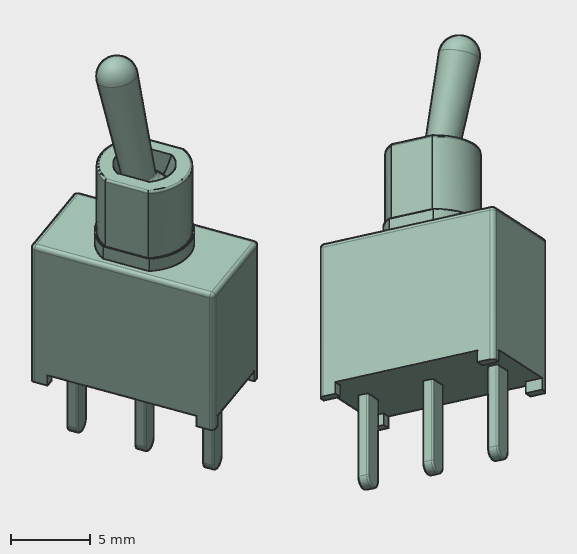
import cadquery as cq
import math


housing_length = 12.7
housing_width = 6.6
housing_top = 10.4
housing_edge_radius = 0.3
foot_height = 0.8
foot_gap_x = 10.3
foot_gap_y = 5.35

collar_diameter = 6.25
collar_flat_width = 5.37
collar_top = 11.33
neck_diameter = 6.02
neck_flat_width = 5.23
neck_top = 16.42
neck_edge_radius = 0.15

bore_mouth_diameter = 3.95
bore_flat_width = 3.27
bore_taper = 8.5

lever_tilt = 12.0
lever_top = 23.85
pivot_height = 13.58
ball_radius = 2.05
stem_root_radius = 1.0
tip_radius = 1.3
stem_fillet = 0.45
lever_length = (lever_top - tip_radius - pivot_height) / math.cos(math.radians(lever_tilt))

pin_count = 3
pin_pitch = 4.7
pin_thickness = 0.75
pin_width = 1.35
pin_tip_height = -5.35
pin_edge_radius = 0.12


def cylinder_with_flats(diameter, flat_width, bottom, top):
    """Vertical cylinder cut by two flats facing -Y and +Y."""
    height = top - bottom
    cylinder = cq.Workplane("XY", origin=(0, 0, bottom)).circle(diameter / 2).extrude(height)
    slab = cq.Workplane("XY", origin=(0, 0, bottom)).rect(diameter, flat_width).extrude(height)
    return cylinder.intersect(slab)


def make_block():
    """Rounded block whose underside is relieved both ways, leaving four corner feet."""
    block = cq.Workplane("XY").rect(housing_length, housing_width).extrude(housing_top)
    block = block.edges("|Z or >Z").fillet(housing_edge_radius)
    long_relief = cq.Workplane("XY").rect(housing_length, foot_gap_y).extrude(foot_height)
    cross_relief = cq.Workplane("XY").rect(foot_gap_x, housing_width).extrude(foot_height)
    return block.cut(long_relief).cut(cross_relief)


def make_bushing():
    collar = cylinder_with_flats(collar_diameter, collar_flat_width, housing_top, collar_top)
    neck = cylinder_with_flats(neck_diameter, neck_flat_width, collar_top, neck_top)
    neck = neck.faces(">Z").edges().fillet(neck_edge_radius)
    return collar.union(neck)


def make_lever_cavity():
    """Tapered bore with two flats, opening into a spherical seat for the pivot ball."""
    bore_depth = neck_top - pivot_height
    bore = (
        cq.Workplane("XY", origin=(0, 0, neck_top))
        .circle(bore_mouth_diameter / 2)
        .extrude(-bore_depth, taper=bore_taper)
    )
    slab = (
        cq.Workplane("XY", origin=(0, 0, neck_top))
        .rect(bore_mouth_diameter, bore_flat_width)
        .extrude(-bore_depth)
    )
    seat = cq.Workplane("XY", origin=(0, 0, pivot_height)).sphere(ball_radius)
    return bore.intersect(slab).union(seat)


def make_housing():
    return make_block().union(make_bushing()).cut(make_lever_cavity()).solids()


def make_lever():
    """Lever built upright around its pivot, then tilted and lifted into place."""
    stem = (
        cq.Workplane("XZ")
        .moveTo(0, 0)
        .lineTo(stem_root_radius, 0)
        .lineTo(tip_radius, lever_length)
        .threePointArc(
            (tip_radius * math.sin(math.pi / 4), lever_length + tip_radius * math.cos(math.pi / 4)),
            (0, lever_length + tip_radius),
        )
        .close()
        .revolve(360, (0, 0, 0), (0, 1, 0))
    )
    ball = cq.Workplane("XY").sphere(ball_radius)
    stem_joint = cq.selectors.NearestToPointSelector((0, 0, ball_radius))
    lever = ball.union(stem).edges(stem_joint).fillet(stem_fillet)
    return lever.rotate((0, 0, 0), (0, 1, 0), -lever_tilt).translate((0, 0, pivot_height)).solids()


def make_pin(x_centre):
    """Flat pin with a full-round tip and rounded long edges, hanging from the block underside."""
    half_width = pin_width / 2
    shoulder = pin_tip_height + half_width
    pin = (
        cq.Workplane("YZ", origin=(x_centre, 0, 0))
        .moveTo(-half_width, foot_height)
        .lineTo(-half_width, shoulder)
        .threePointArc((0, pin_tip_height), (half_width, shoulder))
        .lineTo(half_width, foot_height)
        .close()
        .extrude(pin_thickness / 2, both=True)
    )
    return pin.faces("<X or >X").edges("not >Z").fillet(pin_edge_radius).solids()


housing = make_housing()
lever = make_lever()
pins = [make_pin((i - (pin_count - 1) / 2) * pin_pitch) for i in range(pin_count)]

result = cq.Compound.makeCompound([housing.val(), lever.val(), *[pin.val() for pin in pins]])